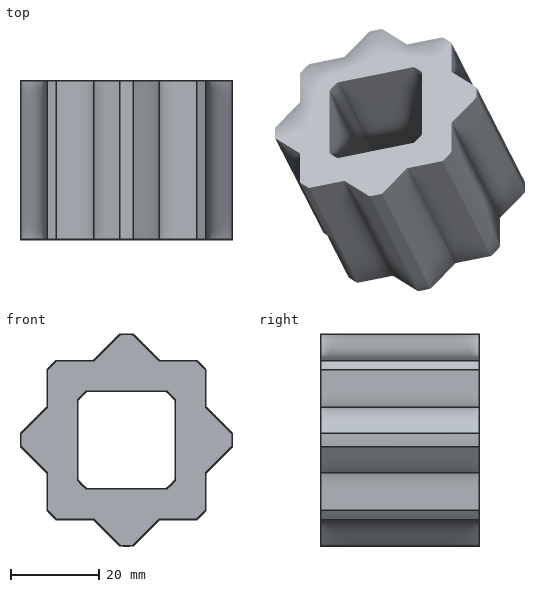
import cadquery as cq

length = 36.0
side = 36.0
tip_diameter = 48.0
bore_side = 22.0
bore_corner_diameter = 28.5
star_angle = 45.0


def square_prism(width):
    """Square prism along Y, centred on the origin."""
    return cq.Workplane("XZ").rect(width, width).extrude(length / 2, both=True)


def round_corners(body, corner_diameter):
    """Trim the corners of a prism with a cylinder on the Y axis."""
    cylinder = cq.Workplane("XZ").circle(corner_diameter / 2).extrude(length / 2, both=True)
    return body.intersect(cylinder)


upright_prism = square_prism(side)
diagonal_prism = upright_prism.rotate((0, 0, 0), (0, 1, 0), star_angle)
star = round_corners(upright_prism.union(diagonal_prism), tip_diameter)
bore = round_corners(square_prism(bore_side), bore_corner_diameter)

result = star.cut(bore)